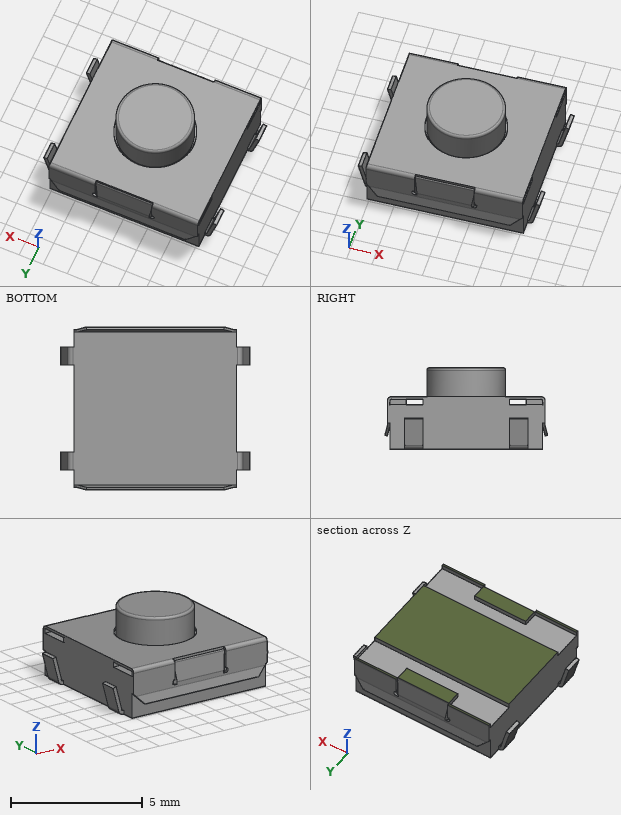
import cadquery as cq
import math


body_length = 6.2
housing_width = 5.8
cover_top = 2.0
cover_thickness = 0.1
housing_top = cover_top - cover_thickness
housing_edge_radius = 0.05

slot_floor = 1.7
slot_inner_y = 1.65
backing_inner_y = 2.275

cover_bend_radius = housing_edge_radius + cover_thickness
skirt_width = 6.2
skirt_angle = math.radians(15)
skirt_tip = 0.53
skirt_corner_height = 1.0

window_width = 2.36
window_bottom = 0.99
relief_radius = 0.1
bump_top = housing_top - housing_edge_radius
bump_slope_end = window_bottom + relief_radius
bump_taper = 0.1

button_diameter = 3.0
button_top = 3.1
button_edge_radius = 0.1
button_hole_diameter = 3.15

lead_span = 7.2
lead_width = 0.7
lead_thickness = 0.15
lead_inner_radius = 0.05
lead_top = 1.19
lead_angle = math.radians(15)
lead_inner_y = slot_inner_y

body_end = body_length / 2
housing_side = housing_width / 2
cover_side = housing_side + cover_thickness


def side_block(length, inner_y, outer_y, bottom, top):
    """Box on the +Y side, centred in X."""
    block = cq.Workplane("XY").box(length, outer_y - inner_y, top - bottom, centered=(True, False, False))
    return block.translate((0, inner_y, bottom))


def both_sides(solid, mirror_plane):
    """The solid together with its mirror image."""
    return solid.union(solid.mirror(mirror_plane))


def make_housing():
    housing = cq.Workplane("XY").box(body_length, housing_width, housing_top, centered=(True, True, False))
    housing = housing.edges("|X and >Z").fillet(housing_edge_radius)

    slot = side_block(body_length, slot_inner_y, housing_side, slot_floor, housing_top)
    backing = side_block(window_width, backing_inner_y, housing_side, slot_floor, housing_top)
    return housing.cut(both_sides(slot.cut(backing), "XZ"))


def make_cover_sheet():
    """The +Y half of the folded cover: plate, bend, wall and flared skirt."""
    bend_centre_y = housing_side - housing_edge_radius
    bend_centre_z = housing_top - housing_edge_radius
    diagonal = math.sqrt(0.5)
    outer_mid = (
        bend_centre_y + cover_bend_radius * diagonal,
        bend_centre_z + cover_bend_radius * diagonal,
    )
    inner_mid = (
        bend_centre_y + housing_edge_radius * diagonal,
        bend_centre_z + housing_edge_radius * diagonal,
    )

    tip_y = skirt_width / 2
    inner_tip_y = tip_y - cover_thickness * math.cos(skirt_angle)
    inner_tip_z = skirt_tip - cover_thickness * math.sin(skirt_angle)
    flare_z = skirt_tip + (tip_y - cover_side) / math.tan(skirt_angle)
    inner_flare_z = flare_z - cover_thickness * math.tan(skirt_angle / 2)

    return (
        cq.Workplane("YZ")
        .moveTo(0, cover_top)
        .lineTo(bend_centre_y, cover_top)
        .threePointArc(outer_mid, (cover_side, bend_centre_z))
        .lineTo(cover_side, flare_z)
        .lineTo(tip_y, skirt_tip)
        .lineTo(inner_tip_y, inner_tip_z)
        .lineTo(housing_side, inner_flare_z)
        .lineTo(housing_side, bend_centre_z)
        .threePointArc(inner_mid, (bend_centre_y, housing_top))
        .lineTo(0, housing_top)
        .close()
        .extrude(body_end, both=True)
    )


def make_cover_outline():
    """Block with 45 degree lower ends that trims the skirts."""
    bottom_end = body_end - skirt_corner_height
    return (
        cq.Workplane("XZ")
        .moveTo(-body_end, cover_top)
        .lineTo(body_end, cover_top)
        .lineTo(body_end, skirt_corner_height)
        .lineTo(bottom_end, 0)
        .lineTo(-bottom_end, 0)
        .lineTo(-body_end, skirt_corner_height)
        .close()
        .extrude(skirt_width, both=True)
    )


def make_window():
    """Cutter for the +Y snap window, with round reliefs at its lower corners."""
    inner_y = cover_side - cover_bend_radius
    window = side_block(window_width, inner_y, cover_side, window_bottom, cover_top)
    relief_z = window_bottom + relief_radius
    reliefs = (
        cq.Workplane("XZ", origin=(0, inner_y, relief_z))
        .pushPoints([(-window_width / 2, 0), (window_width / 2, 0)])
        .circle(relief_radius)
        .extrude(-cover_bend_radius)
    )
    return window.union(reliefs)


def make_cover():
    half = make_cover_sheet().intersect(make_cover_outline()).cut(make_window())
    button_hole = (
        cq.Workplane("XY", origin=(0, 0, housing_top))
        .circle(button_hole_diameter / 2)
        .extrude(cover_thickness)
    )
    return both_sides(half, "XZ").cut(button_hole)


def make_bump():
    """Snap wedge on the +Y side: it slopes out of the housing wall and ends flush with the cover."""
    root = window_width / 2
    face = root - bump_taper
    wedge = (
        cq.Workplane("YZ")
        .moveTo(housing_side, bump_top)
        .lineTo(cover_side, bump_slope_end)
        .lineTo(cover_side, window_bottom)
        .lineTo(housing_side, window_bottom)
        .close()
        .extrude(root, both=True)
    )
    tapered_plan = (
        cq.Workplane("XY")
        .moveTo(-root, housing_side)
        .lineTo(root, housing_side)
        .lineTo(face, cover_side)
        .lineTo(-face, cover_side)
        .close()
        .extrude(cover_top)
    )
    return wedge.intersect(tapered_plan)


def make_button():
    return (
        cq.Workplane("XY", origin=(0, 0, housing_top))
        .circle(button_diameter / 2)
        .extrude(button_top - housing_top)
        .faces(">Z")
        .edges()
        .fillet(button_edge_radius)
    )


def make_lead():
    """Lead at +X, +Y: a short foot, a round bend and a straight arm leaning outwards."""
    outer_radius = lead_inner_radius + lead_thickness
    across_x = math.cos(lead_angle)
    across_z = -math.sin(lead_angle)
    half_bend = (math.pi / 2 - lead_angle) / 2

    tip_x = lead_span / 2
    tip_z = lead_top + lead_thickness * across_z
    inner_tip_x = tip_x - lead_thickness * across_x
    bend_z = outer_radius
    arm_start_z = bend_z + outer_radius * across_z
    bend_x = tip_x - (tip_z - arm_start_z) * math.tan(lead_angle) - outer_radius * across_x

    def on_bend(radius, angle_from_bottom):
        """Point around the bend centre, at an angle from straight down."""
        return (
            bend_x + radius * math.sin(angle_from_bottom),
            bend_z - radius * math.cos(angle_from_bottom),
        )

    return (
        cq.Workplane("XZ", origin=(0, lead_inner_y, 0))
        .moveTo(body_end, 0)
        .lineTo(bend_x, 0)
        .threePointArc(on_bend(outer_radius, half_bend), on_bend(outer_radius, 2 * half_bend))
        .lineTo(tip_x, tip_z)
        .lineTo(inner_tip_x, lead_top)
        .lineTo(*on_bend(lead_inner_radius, 2 * half_bend))
        .threePointArc(on_bend(lead_inner_radius, half_bend), on_bend(lead_inner_radius, 0))
        .lineTo(body_end, lead_thickness)
        .close()
        .extrude(-lead_width)
    )


leads = both_sides(both_sides(make_lead(), "XZ"), "YZ")
bumps = both_sides(make_bump(), "XZ")
result = make_housing().union(make_cover()).union(bumps).union(make_button()).union(leads)